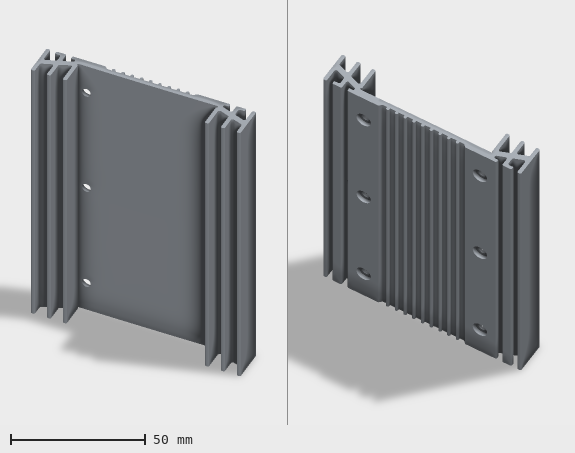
import cadquery as cq
import math

WIDTH = 86.3
DEPTH = 13.8
LENGTH = 116.8
BACK_Y = DEPTH / 2
FRONT_Y = -DEPTH / 2

FIN_THICKNESS = 1.6
FIN_PITCH = 6.5
FIN_COUNT = 3
FIN_TIP_RADIUS = 0.6
FIN_X = [-WIDTH / 2 + i * FIN_PITCH for i in range(FIN_COUNT)]
OUTER_FIN_X, MIDDLE_FIN_X, INNER_FIN_X = FIN_X

PLATE_EDGE_X = INNER_FIN_X + FIN_THICKNESS
PLATE_THICKNESS = 3.0
PLATE_FRONT_Y = BACK_Y - PLATE_THICKNESS
CROWN_HEIGHT = 0.1

GROOVE_RADIUS = 0.5

WEB_SLOPE = math.tan(math.radians(20))
WEB_START_Y = 0.4
WEB_DEPTH = 2.5
WEB_FILLET = 0.7

LIP_OVERHANG = 2.5
LIP_THICKNESS = 1.4
LIP_END_RADIUS = 0.6
LIP_ROOT_FILLET = 0.7
LIP_FRONT_Y = BACK_Y - LIP_THICKNESS

POCKET_WALL_X = INNER_FIN_X - 0.5
POCKET_FILLET = 0.5

RECESS_DEPTH = 1.2
RECESS_HALF_WIDTH = 18.9
RECESS_FLOOR_Y = BACK_Y - RECESS_DEPTH
RIB_COUNT = 9
RIB_SPAN = 30.4
RIB_WIDTH = 1.3

HOLE_DIAMETER = 3.6
COUNTERBORE_DIAMETER = 6.3
COUNTERBORE_DEPTH = 1.8
HOLE_COLUMNS = 2
HOLE_COLUMN_SPACING = 50.7
HOLE_ROWS = 3
HOLE_ROW_SPACING = 45.7

SELECT_TOLERANCE = 0.02


def section():
    """Workplane at the lower end of the extrusion."""
    return cq.Workplane("XY", origin=(0, 0, -LENGTH / 2))


def prism(points):
    """Full-length bar with the given polygonal section."""
    return section().polyline(points).close().extrude(LENGTH)


def bar(x_min, x_max, y_min, y_max):
    """Full-length bar with a rectangular section."""
    return prism([(x_min, y_min), (x_max, y_min), (x_max, y_max), (x_min, y_max)])


def round_corners(body, corners, radius):
    """Fillet the lengthwise edges that pass through the given section corners."""
    selected = []
    for edge in body.edges("|Z").vals():
        center = edge.Center()
        if any(math.hypot(center.x - x, center.y - y) < SELECT_TOLERANCE for x, y in corners):
            selected.append(edge)
    return body.newObject(selected).fillet(radius)


def web_back_y(x):
    """Y of the back face of the sloping web at a given X."""
    return WEB_START_Y + WEB_SLOPE * (x - OUTER_FIN_X - FIN_THICKNESS)


def web_front_y(x):
    """Y of the front face of the sloping web at a given X."""
    return web_back_y(x) - WEB_DEPTH


def sharp_side():
    """Left half of the section before its corners are rounded."""
    body = bar(POCKET_WALL_X, 0, PLATE_FRONT_Y, BACK_Y)
    for x, back_y in zip(FIN_X, (BACK_Y, BACK_Y, PLATE_FRONT_Y)):
        body = body.union(bar(x, x + FIN_THICKNESS, FRONT_Y, back_y))

    start_x = OUTER_FIN_X + FIN_THICKNESS / 2
    end_x = INNER_FIN_X + FIN_THICKNESS / 2
    web = prism([
        (start_x, web_front_y(start_x)),
        (end_x, web_front_y(end_x)),
        (end_x, web_back_y(end_x)),
        (start_x, web_back_y(start_x)),
    ])
    body = body.union(web)

    for x in (MIDDLE_FIN_X, INNER_FIN_X):
        body = body.union(bar(x - LIP_OVERHANG, x + FIN_THICKNESS, LIP_FRONT_Y, BACK_Y))
    return body


def round_fin_tips(body):
    """Round the free ends of the fins."""
    tips = [(x + offset, FRONT_Y) for x in FIN_X for offset in (0, FIN_THICKNESS)]
    tips += [(OUTER_FIN_X, BACK_Y), (OUTER_FIN_X + FIN_THICKNESS, BACK_Y)]
    tips.append((MIDDLE_FIN_X + FIN_THICKNESS, BACK_Y))
    return round_corners(body, tips, FIN_TIP_RADIUS)


def round_lips(body):
    """Round the lip ends, the root of the outer lip and the pocket under the plate lip."""
    ends = [(x - LIP_OVERHANG, BACK_Y) for x in (MIDDLE_FIN_X, INNER_FIN_X)]
    body = round_corners(body, ends, LIP_END_RADIUS)
    body = round_corners(body, [(MIDDLE_FIN_X, LIP_FRONT_Y)], LIP_ROOT_FILLET)
    pocket = [(POCKET_WALL_X, LIP_FRONT_Y), (POCKET_WALL_X, web_back_y(POCKET_WALL_X))]
    return round_corners(body, pocket, POCKET_FILLET)


def round_web(body):
    """Fillet the web where it meets the fins."""
    corners = [(MIDDLE_FIN_X, web_back_y(MIDDLE_FIN_X))]
    for x in (OUTER_FIN_X, MIDDLE_FIN_X):
        bay_start = x + FIN_THICKNESS
        bay_end = x + FIN_PITCH
        corners.append((bay_start, web_back_y(bay_start)))
        corners.append((bay_start, web_front_y(bay_start)))
        corners.append((bay_end, web_front_y(bay_end)))
    return round_corners(body, corners, WEB_FILLET)


def root_groove():
    """Round groove in the inner fin, tangent to the front of the plate."""
    center = (PLATE_EDGE_X, PLATE_FRONT_Y - GROOVE_RADIUS)
    return section().moveTo(*center).circle(GROOVE_RADIUS).extrude(LENGTH)


def crown():
    """Slight bulge across the whole front of the plate."""
    return (
        section()
        .moveTo(PLATE_EDGE_X, PLATE_FRONT_Y)
        .threePointArc((0, PLATE_FRONT_Y - CROWN_HEIGHT), (-PLATE_EDGE_X, PLATE_FRONT_Y))
        .close()
        .extrude(LENGTH)
    )


def recess():
    """Shallow trough with 45 degree sides."""
    floor_half_width = RECESS_HALF_WIDTH - RECESS_DEPTH
    return prism([
        (-RECESS_HALF_WIDTH, BACK_Y),
        (-floor_half_width, RECESS_FLOOR_Y),
        (floor_half_width, RECESS_FLOOR_Y),
        (RECESS_HALF_WIDTH, BACK_Y),
    ])


def rib(x):
    """Round-topped rib standing on the recess floor and level with the back."""
    radius = RIB_WIDTH / 2
    return (
        section()
        .moveTo(x - radius, RECESS_FLOOR_Y)
        .lineTo(x - radius, BACK_Y - radius)
        .threePointArc((x, BACK_Y), (x + radius, BACK_Y - radius))
        .lineTo(x + radius, RECESS_FLOOR_Y)
        .close()
        .extrude(LENGTH)
    )


def cylinders_from_back(diameter, depth):
    """Cylinders at every hole position, reaching from the back towards the front."""
    return (
        cq.Workplane("XZ", origin=(0, BACK_Y, 0))
        .rarray(HOLE_COLUMN_SPACING, HOLE_ROW_SPACING, HOLE_COLUMNS, HOLE_ROWS)
        .circle(diameter / 2)
        .extrude(depth)
    )


side = round_web(round_lips(round_fin_tips(sharp_side()))).cut(root_groove())
result = side.union(side.mirror("YZ")).union(crown()).cut(recess())

for i in range(RIB_COUNT):
    result = result.union(rib(-RIB_SPAN / 2 + i * RIB_SPAN / (RIB_COUNT - 1)))

result = result.cut(cylinders_from_back(HOLE_DIAMETER, DEPTH))
result = result.cut(cylinders_from_back(COUNTERBORE_DIAMETER, COUNTERBORE_DEPTH))